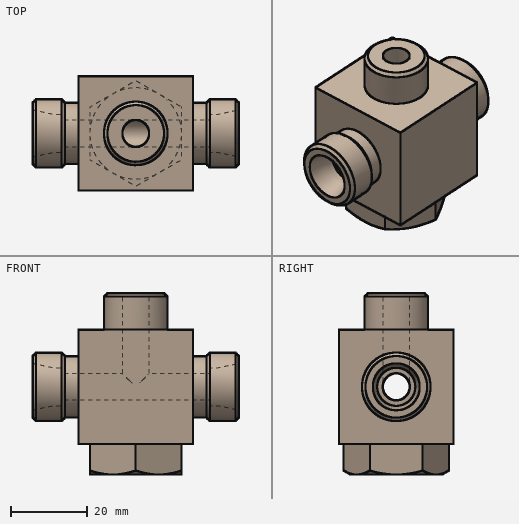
import cadquery as cq
import math

total_length = 54.0
cube_side = 30.0
arm_length = (total_length - cube_side) / 2
half_cube = cube_side / 2

collar_diameter = 18.0
neck_diameter = 16.15
neck_length = 3.5
edge_chamfer = 0.9
shoulder_run = (collar_diameter - neck_diameter) / 2

bore_diameter = 7.0
socket_diameter = 10.0
socket_depth = 7.5
cone_mouth_diameter = 12.3
cone_half_angle = math.radians(12)
cone_depth = (cone_mouth_diameter - socket_diameter) / 2 / math.tan(cone_half_angle)

spigot_diameter = 16.7
spigot_height = 9.5

hex_across_flats = 24.0
hex_height = 8.0
hex_chamfer_angle = math.radians(30)


def side_arm():
    """Arm on the +X side, turned about X: neck, shoulder and chamfered collar."""
    neck_radius = neck_diameter / 2
    collar_radius = collar_diameter / 2
    neck_end = half_cube + neck_length
    arm_end = half_cube + arm_length
    profile = [
        (half_cube, 0),
        (half_cube, neck_radius),
        (neck_end, neck_radius),
        (neck_end + shoulder_run, collar_radius),
        (arm_end - edge_chamfer, collar_radius),
        (arm_end, collar_radius - edge_chamfer),
        (arm_end, 0),
    ]
    return cq.Workplane("XY").polyline(profile).close().revolve(360, (0, 0, 0), (1, 0, 0))


def arm_socket():
    """Conical mouth of the +X arm, running into a cylindrical flat-bottomed socket."""
    arm_end = half_cube + arm_length
    profile = [
        (arm_end, 0),
        (arm_end, cone_mouth_diameter / 2),
        (arm_end - cone_depth, socket_diameter / 2),
        (arm_end - socket_depth, socket_diameter / 2),
        (arm_end - socket_depth, 0),
    ]
    return cq.Workplane("XY").polyline(profile).close().revolve(360, (0, 0, 0), (1, 0, 0))


def top_spigot():
    """Plain cylinder on the top face with a chamfered rim."""
    spigot = cq.Workplane("XY").workplane(offset=half_cube).circle(spigot_diameter / 2).extrude(spigot_height)
    return spigot.faces(">Z").chamfer(edge_chamfer)


def bottom_hexagon():
    """Hexagon with corners on the Y axis, its lower corners cut back by a cone."""
    corner_radius = hex_across_flats / math.sqrt(3)
    flat_radius = hex_across_flats / 2
    bottom = -half_cube - hex_height
    corner_cut = (corner_radius - flat_radius) * math.tan(hex_chamfer_angle)
    prism = (
        cq.Workplane("XY")
        .workplane(offset=bottom)
        .transformed(rotate=(0, 0, 90))
        .polygon(6, 2 * corner_radius)
        .extrude(hex_height)
    )
    envelope_profile = [
        (0, bottom),
        (flat_radius, bottom),
        (corner_radius, bottom + corner_cut),
        (corner_radius, -half_cube),
        (0, -half_cube),
    ]
    envelope = cq.Workplane("XZ").polyline(envelope_profile).close().revolve(360, (0, 0, 0), (0, 1, 0))
    return prism.intersect(envelope)


body = cq.Workplane("XY").box(cube_side, cube_side, cube_side)
body = body.union(top_spigot()).union(bottom_hexagon())
right_arm = side_arm()
body = body.union(right_arm).union(right_arm.mirror("YZ"))

cross_bore = (
    cq.Workplane("YZ")
    .workplane(offset=-total_length / 2)
    .circle(bore_diameter / 2)
    .extrude(total_length)
)
branch_bore = cq.Workplane("XY").circle(bore_diameter / 2).extrude(half_cube + spigot_height)
right_socket = arm_socket()
body = body.cut(cross_bore).cut(branch_bore)
result = body.cut(right_socket).cut(right_socket.mirror("YZ"))